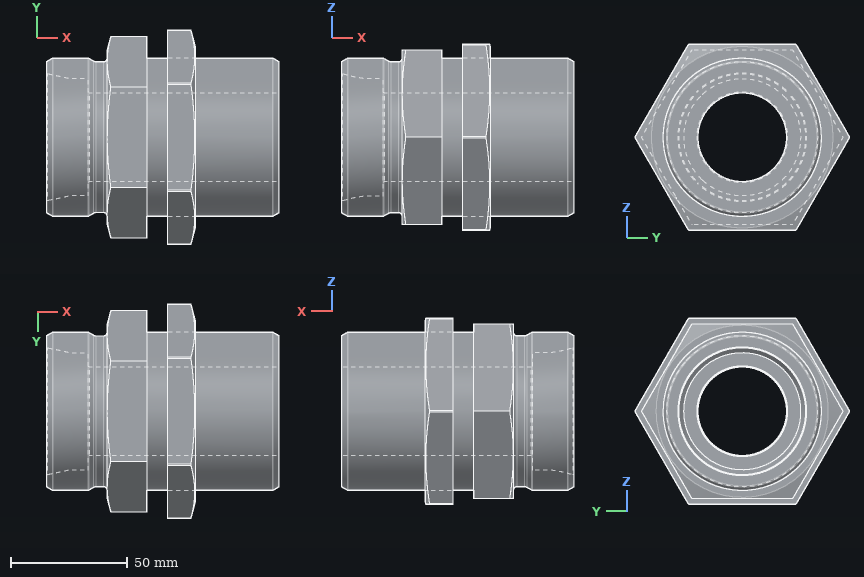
import cadquery as cq
import math

LENGTH = 100.0
BODY_D = 68.0
TIP_D = 64.9
TIP_ANGLE = 30.0
EDGE_FILLET = 0.6

GROOVE_START = 18.1
GROOVE_D = 64.9
GROOVE_FILLET = 2.0

COLLAR_START = 26.0
COLLAR_END = 43.2
COLLAR_FLATS = 75.0
COLLAR_FACE_D = 74.0
COLLAR_ROOT_FILLET = 1.4

NUT_START = 52.0
NUT_END = 64.0
NUT_FLATS = 80.0
NUT_CORNER_D = 92.0
NUT_FACE_D = 78.0
HEX_CHAMFER_ANGLE = 15.0

MOUTH_D = 55.3
MOUTH_CHAMFER = 0.4
CONE_ANGLE = 12.0
SOCKET_D = 50.3
SOCKET_DEPTH = 18.0
BORE_D = 38.0
BORE_CHAMFER = 0.5


def tangent(degrees):
    return math.tan(math.radians(degrees))


def revolve_profile(profile):
    """Turn a closed (axial, radial) profile around the X axis."""
    return profile.close().revolve(360, (0, 0, 0), (1, 0, 0))


def hexagon(flats, start, end):
    """Hexagonal prism along X with flats facing +Z and -Z."""
    corner_d = flats / math.cos(math.radians(30))
    return cq.Workplane("YZ", origin=(start, 0, 0)).polygon(6, corner_d).extrude(end - start)


def hexagon_envelope(face_d, outer_d, face_x, back_x):
    """Turned blank that chamfers the hexagon corners at its face_x end."""
    toward_back = math.copysign(1, back_x - face_x)
    chamfer_length = (outer_d - face_d) / 2 * tangent(HEX_CHAMFER_ANGLE)
    return revolve_profile(
        cq.Workplane("XY")
        .moveTo(face_x, 0)
        .lineTo(face_x, face_d / 2)
        .lineTo(face_x + toward_back * chamfer_length, outer_d / 2)
        .lineTo(back_x, outer_d / 2)
        .lineTo(back_x, 0)
    )


def round_edges(body, edges):
    """Fillet the circular edges given by (axial place, radius)."""
    tolerance = 0.01

    def is_listed(edge):
        circle_x = edge.Center().x
        return edge.geomType() == "CIRCLE" and any(
            abs(circle_x - x) < tolerance and abs(edge.radius() - radius) < tolerance
            for x, radius in edges
        )

    return body.edges().filter(is_listed).fillet(EDGE_FILLET)


def make_barrel():
    """Turned outside of the fitting, without its hexagon collar."""
    body_r = BODY_D / 2
    tip_r = TIP_D / 2
    groove_r = GROOVE_D / 2
    tip_length = (body_r - tip_r) / tangent(TIP_ANGLE)

    ramp_end = GROOVE_START + (body_r - groove_r) / tangent(TIP_ANGLE)
    blend = GROOVE_FILLET * tangent(TIP_ANGLE / 2)
    ramp_angle = math.radians(TIP_ANGLE)
    blend_start = (ramp_end - blend * math.cos(ramp_angle), groove_r + blend * math.sin(ramp_angle))
    blend_end = (ramp_end + blend, groove_r)
    half_angle = math.radians(TIP_ANGLE / 2)
    blend_middle = (
        blend_end[0] - GROOVE_FILLET * math.sin(half_angle),
        groove_r + GROOVE_FILLET * (1 - math.cos(half_angle)),
    )

    barrel = revolve_profile(
        cq.Workplane("XY")
        .lineTo(0, tip_r)
        .lineTo(tip_length, body_r)
        .lineTo(GROOVE_START, body_r)
        .lineTo(*blend_start)
        .threePointArc(blend_middle, blend_end)
        .lineTo(COLLAR_START - COLLAR_ROOT_FILLET, groove_r)
        .radiusArc((COLLAR_START, groove_r + COLLAR_ROOT_FILLET), -COLLAR_ROOT_FILLET)
        .lineTo(COLLAR_START, body_r)
        .lineTo(LENGTH - tip_length, body_r)
        .lineTo(LENGTH, tip_r)
        .lineTo(LENGTH, 0)
    )
    sharp_edges = [
        (0, tip_r),
        (tip_length, body_r),
        (GROOVE_START, body_r),
        (LENGTH - tip_length, body_r),
        (LENGTH, tip_r),
    ]
    return round_edges(barrel, sharp_edges)


def make_collar():
    """Hexagon collar, chamfered on the side that faces the socket end."""
    corner_d = COLLAR_FLATS / math.cos(math.radians(30))
    envelope = hexagon_envelope(COLLAR_FACE_D, corner_d, COLLAR_START, COLLAR_END)
    return hexagon(COLLAR_FLATS, COLLAR_START, COLLAR_END).intersect(envelope)


def make_passage():
    """Tapered socket, its straight bottom and the through bore."""
    mouth_r = MOUTH_D / 2
    cone_r = mouth_r - MOUTH_CHAMFER
    socket_r = SOCKET_D / 2
    bore_r = BORE_D / 2
    cone_end = MOUTH_CHAMFER + (cone_r - socket_r) / tangent(CONE_ANGLE)
    return revolve_profile(
        cq.Workplane("XY")
        .lineTo(0, mouth_r)
        .lineTo(MOUTH_CHAMFER, cone_r)
        .lineTo(cone_end, socket_r)
        .lineTo(SOCKET_DEPTH, socket_r)
        .lineTo(SOCKET_DEPTH, bore_r + BORE_CHAMFER)
        .lineTo(SOCKET_DEPTH + BORE_CHAMFER, bore_r)
        .lineTo(LENGTH, bore_r)
        .lineTo(LENGTH, 0)
    )


def make_fitting():
    return make_barrel().union(make_collar()).cut(make_passage())


def make_lock_nut():
    """Hexagon nut around the barrel, chamfered on the side away from the collar."""
    envelope = hexagon_envelope(NUT_FACE_D, NUT_CORNER_D, NUT_END, NUT_START)
    nut = hexagon(NUT_FLATS, NUT_START, NUT_END).intersect(envelope)
    hole = cq.Workplane("YZ", origin=(NUT_START, 0, 0)).circle(BODY_D / 2).extrude(NUT_END - NUT_START)
    return nut.cut(hole)


fitting = make_fitting()
lock_nut = make_lock_nut()

result = cq.Compound.makeCompound([fitting.val(), lock_nut.val()])